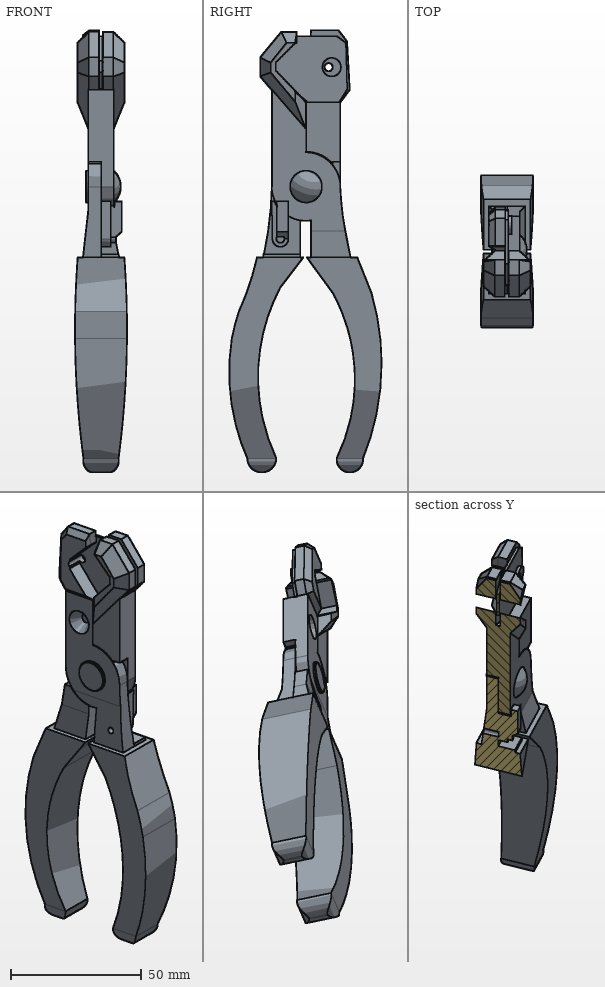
import cadquery as cq
import math


PLATE_X = 5.0
NECK_WIDTH = 26.3
PIVOT_R = NECK_WIDTH / 2
CLEARANCE = 0.25
CLEAR_R = PIVOT_R + CLEARANCE
RELIEF_Y = 10.2
RELIEF_TOP = 9.9
NECK_TOP = 32.5
HANDLE_TOP = -27.2
HANDLE_BOTTOM = -109.8
HANDLE_END = -104.4
ARM_X = 7.0
WIDE = 68.0

SHANK_R = 8.0 / 2
RIVET_HEAD_R = 6.1
RIVET_HEAD_H = 1.0
RIVET_HEAD_CHAMFER = 0.3
RIVET_DOME_H = 2.7

JAW_FACE_X = -7.0
JAW_RIM_X = -4.5
BLADE_X = (-0.7, 0.5)
SLOT_X = (-0.8, 0.7)
WIRE_HOLE = (8.7, 45.9)
WIRE_HOLE_D = 3.0
BOSS_Y = 9.9
BOSS_D = 7.1
BOSS_END_X = 1.9

CONE = (6.6, 20.9)
CONE_D = 9.5
CONE_FLOOR_D = 3.5
CONE_DEPTH = 4.2

CLAW_RIM_X = 4.8
CLAW_WIDTH = 18.2
CLAW_X = CLAW_WIDTH / 2
CLAW_ROOT = 22.0
CLAW_FLANK = 37.4

HANDLE_TOP_X = 9.0
HANDLE_MID = (10.0, -52.7)
HANDLE_END_X = 6.8
HANDLE_TIP_X = 3.7
HANDLE_CORNER = (6.0, -108.1)

FRONT_FLARE = -9.0
REAR_FLARE = -17.0
REAR_ARM_TOP = -8.0
REAR_SHOULDER_Y = 13.6
REAR_FLARE_Y = 15.1
FRONT_SLOT_Y = 2.2
REAR_SLOT_Y = 1.9
FRONT_FOOT_Y = 16.5
REAR_FOOT_Y = 17.2
FLANK_BOW = 0.7
FRONT_BASE_TOP = -26.0
PIN = (-9.9, -20.0)
PIN_D = 3.0
PIN_END_X = 5.8
PIN_HOLE_D = 2.4
CATCH_X = 8.0
CATCH_Y = -11.2
CATCH_STEP_X = 3.7
CATCH_TOP = -5.6
CATCH_BEVEL_TOP = -17.3
CATCH_FOOT_R = 3.0


def plane_at(x):
    """Work plane normal to X, whose local axes are Y and Z."""
    return cq.Workplane("YZ").workplane(offset=x)


def slab(points, x_start, x_end):
    """Polygon in Y and Z, extruded between two X positions."""
    return plane_at(x_start).polyline(points).close().extrude(x_end - x_start)


def rod(center, diameter, x_start, x_end):
    """Cylinder along X."""
    return plane_at(x_start).center(*center).circle(diameter / 2).extrude(x_end - x_start)


def bevel(points_start, x_start, points_end, x_end):
    """Straight-sided transition between two polygons with the same number of corners."""
    lower = plane_at(x_start).polyline(points_start).close()
    return lower.workplane(offset=x_end - x_start).polyline(points_end).close().loft(ruled=True)


def trimmed(body, profile):
    """Keep the part of a body inside a symmetric X-Z profile given by its +X corners."""
    mirrored = [(-x, z) for x, z in reversed(profile)]
    return body.intersect(
        cq.Workplane("XZ").polyline(profile + mirrored).close().extrude(WIDE, both=True)
    )


def lap_plate(side, slot_y, foot_y):
    """Half-thickness outline with the neck half at side * Y, the pivot disc and the opposite arm."""
    arc = PIVOT_R * math.sqrt(0.5)
    flank_y = (PIVOT_R + foot_y) / 2 - FLANK_BOW
    return (
        plane_at(0)
        .moveTo(side * PIVOT_R, NECK_TOP)
        .lineTo(0, NECK_TOP)
        .lineTo(0, PIVOT_R)
        .threePointArc((-side * arc, arc), (-side * PIVOT_R, 0))
        .threePointArc((-side * flank_y, HANDLE_TOP / 2), (-side * foot_y, HANDLE_TOP))
        .lineTo(-side * slot_y, HANDLE_TOP)
        .lineTo(-side * slot_y, -math.sqrt(PIVOT_R**2 - slot_y**2))
        .threePointArc((side * arc, -arc), (side * PIVOT_R, 0))
        .close()
    )


def lap_clearance(side, x_start, x_end):
    """Space that the other lever's disc needs, with a relief at side * Y."""
    relief = [
        (side * RELIEF_Y, 0),
        (side * RELIEF_Y, RELIEF_TOP - CLEARANCE),
        (side * CLEAR_R, RELIEF_TOP - CLEARANCE),
        (side * CLEAR_R, 0),
    ]
    return rod((0, 0), 2 * CLEAR_R, x_start, x_end).union(slab(relief, x_start, x_end))


def arm_profile(flare_z):
    """X-Z profile that widens from the plate to the handle."""
    return [(PLATE_X, NECK_TOP), (PLATE_X, flare_z), (ARM_X, HANDLE_TOP)]


def handle(outline):
    """Curved grip: a Y-Z outline trimmed to the barrel shape seen along Y."""
    grip = outline.close().extrude(WIDE, both=True)
    mid_x, mid_z = HANDLE_MID
    corner_x, corner_z = HANDLE_CORNER
    profile = (
        cq.Workplane("XZ")
        .moveTo(HANDLE_TOP_X, HANDLE_TOP)
        .threePointArc((mid_x, mid_z), (HANDLE_END_X, HANDLE_END))
        .threePointArc((corner_x, corner_z), (HANDLE_TIP_X, HANDLE_BOTTOM))
        .lineTo(-HANDLE_TIP_X, HANDLE_BOTTOM)
        .threePointArc((-corner_x, corner_z), (-HANDLE_END_X, HANDLE_END))
        .threePointArc((-mid_x, mid_z), (-HANDLE_TOP_X, HANDLE_TOP))
        .close()
        .extrude(WIDE, both=True)
    )
    return grip.intersect(profile)


def front_handle():
    outline = (
        plane_at(0)
        .moveTo(-1.0, HANDLE_TOP)
        .lineTo(-18.9, HANDLE_TOP)
        .threePointArc((-21.8, -37.5), (-25.8, -48.0))
        .threePointArc((-27.4, -53.0), (-28.5, -58.3))
        .threePointArc((-28.9, -82.0), (-22.6, HANDLE_END))
        .threePointArc((-17.2, HANDLE_BOTTOM), (-11.4, HANDLE_END))
        .threePointArc((-18.4, -71.4), (-9.9, -38.8))
    )
    return handle(outline)


def rear_handle():
    outline = (
        plane_at(0)
        .moveTo(0.3, HANDLE_TOP)
        .lineTo(19.7, HANDLE_TOP)
        .lineTo(25.2, -40.8)
        .threePointArc((29.0, -69.7), (22.0, HANDLE_END))
        .threePointArc((16.5, HANDLE_BOTTOM), (11.7, HANDLE_END))
        .threePointArc((18.7, -72.4), (10.2, -40.8))
        .lineTo(2.4, -30.1)
    )
    return handle(outline)


def front_jaw():
    """Bevelled jaw with a V-shaped mouth, backed by a thin blade that fills the mouth."""
    rim = [(1.9, 60.2), (12.4, 60.2), (15.8, 55.8), (16.8, 37.2), (13.3, NECK_TOP), (0, NECK_TOP)]
    face = [(1.9, 58.1), (11.2, 58.1), (13.8, 55.0), (14.1, 37.4), (11.9, 34.5), (0, 34.5)]
    mouth = [(0, NECK_TOP), (9.7, 43.9), (9.7, 47.8), (1.9, 55.2), (0, 55.2)]
    blade = [
        (0.5, NECK_TOP), (-13.3, 44.0), (-13.3, 48.5), (-5.1, 57.8),
        (11.9, 57.8), (15.3, 55.2), (15.8, 37.4), (12.7, NECK_TOP),
    ]
    jaw = slab(rim, JAW_RIM_X, BLADE_X[0]).union(bevel(rim, JAW_RIM_X, face, JAW_FACE_X))
    jaw = jaw.cut(slab(mouth, JAW_FACE_X, BLADE_X[0]))
    jaw = jaw.union(slab(blade, *BLADE_X))
    jaw = jaw.union(rod((BOSS_Y, WIRE_HOLE[1]), BOSS_D, BLADE_X[1], BOSS_END_X))
    return jaw.cut(rod(WIRE_HOLE, WIRE_HOLE_D, JAW_FACE_X, BOSS_END_X))


def rear_jaw():
    """Claw around a diamond-shaped mouth, bevelled on both sides and slotted for the blade."""
    rim = [(0, CLAW_ROOT), (-17.7, 42.3), (-17.7, 49.6), (-9.5, 59.5), (-3.5, 59.5), (-0.2, 55.2)]
    face = [(-4.0, NECK_TOP), (-13.6, 43.9), (-13.6, 47.6), (-7.5, 55.2), (-4.2, 55.2), (-4.0, 54.9)]
    mouth = [
        (0, NECK_TOP), (-11.5, 44.5), (-11.5, 47.8), (-4.5, 54.9), (-3.5, 55.2), (-3.5, 61.2), (1.7, 61.2),
    ]
    slot = [(1.7, 31.6), (0, 32.1), (-18.7, 39.6), (-18.7, 61.2), (1.7, 61.2)]
    jaw = slab(rim, -CLAW_RIM_X, CLAW_RIM_X)
    for side in (-1, 1):
        jaw = jaw.union(bevel(rim, side * CLAW_RIM_X, face, side * CLAW_X))
    neck = [(0, CLAW_ROOT), (-PIVOT_R, CLAW_ROOT), (-PIVOT_R, CLAW_FLANK), (0, NECK_TOP)]
    jaw = jaw.union(slab(neck, -PLATE_X, PLATE_X))
    return jaw.cut(slab(mouth, -CLAW_X, CLAW_X)).cut(slab(slot, *SLOT_X))


def conical_recess():
    """Cone that narrows from the -X face of the neck to a flat floor."""
    return (
        plane_at(-PLATE_X)
        .center(*CONE)
        .circle(CONE_D / 2)
        .workplane(offset=CONE_DEPTH)
        .circle(CONE_FLOOR_D / 2)
        .loft()
    )


def catch():
    """Stepped block with a rounded foot around its pin, hollowed around the pivot disc."""
    pin_y, pin_z = PIN
    inner_y = pin_y + CATCH_FOOT_R
    inner = slab(
        [(-PIVOT_R, CATCH_TOP), (pin_y - CATCH_FOOT_R, pin_z), (inner_y, pin_z), (inner_y, CATCH_TOP)],
        0, CATCH_STEP_X,
    )
    outer = slab(
        [(CATCH_Y, CATCH_TOP), (CATCH_Y, pin_z), (inner_y, pin_z), (inner_y, CATCH_TOP)],
        CATCH_STEP_X, CATCH_X,
    )
    wedge = (
        cq.Workplane("XZ")
        .polyline([(CATCH_X, CATCH_BEVEL_TOP), (CATCH_X, pin_z), (PLATE_X, pin_z)])
        .close()
        .extrude(WIDE, both=True)
    )
    block = inner.union(outer.cut(wedge)).cut(rod((0, 0), 2 * CLEAR_R, 0, PLATE_X + CLEARANCE))
    foot = rod(PIN, 2 * CATCH_FOOT_R, 0, CATCH_STEP_X)
    return block.union(foot).union(rod(PIN, PIN_D, 0, PIN_END_X))


def front_plate():
    """Lap plate on the -X half, with a full-thickness base on the handle."""
    plate = lap_plate(1, FRONT_SLOT_Y, FRONT_FOOT_Y).extrude(-ARM_X)
    base = slab(
        [
            (-FRONT_FOOT_Y, FRONT_BASE_TOP), (-FRONT_FOOT_Y, HANDLE_TOP),
            (-FRONT_SLOT_Y, HANDLE_TOP), (-FRONT_SLOT_Y, FRONT_BASE_TOP),
        ],
        0, ARM_X,
    )
    plate = trimmed(plate.union(base), arm_profile(FRONT_FLARE))
    return plate.cut(rod(PIN, PIN_HOLE_D, -ARM_X, 0))


def rear_plate():
    """Lap plate on the +X half, with a full-thickness arm below the joint."""
    plate = lap_plate(-1, REAR_SLOT_Y, REAR_FOOT_Y).extrude(ARM_X)
    arm = slab(
        [
            (REAR_SHOULDER_Y, REAR_ARM_TOP), (REAR_FLARE_Y, REAR_FLARE), (REAR_FOOT_Y, HANDLE_TOP),
            (REAR_SLOT_Y, HANDLE_TOP), (REAR_SLOT_Y, REAR_ARM_TOP),
        ],
        -ARM_X, 0,
    )
    return trimmed(plate.union(arm.cut(lap_clearance(-1, -ARM_X, 0))), arm_profile(REAR_FLARE))


def pivot_hole():
    return rod((0, 0), 2 * SHANK_R, -PLATE_X, PLATE_X)


def front_lever():
    upper = slab([(0, 0), (PIVOT_R, 0), (PIVOT_R, NECK_TOP), (0, NECK_TOP)], 0, PLATE_X)
    lever = front_plate().union(upper.cut(lap_clearance(1, 0, PLATE_X)))
    lever = lever.union(front_jaw()).cut(conical_recess())
    lever = lever.union(catch()).union(front_handle())
    return lever.cut(pivot_hole())


def rear_lever():
    upper = slab([(0, 0), (-PIVOT_R, 0), (-PIVOT_R, NECK_TOP), (0, NECK_TOP)], -PLATE_X, 0)
    lever = rear_plate().union(upper.cut(lap_clearance(-1, -PLATE_X, 0)))
    lever = lever.union(rear_jaw()).union(rear_handle())
    return lever.cut(pivot_hole())


def rivet_body():
    """Shank with a flat head at -X and a domed head at +X."""
    head_x = -PLATE_X - RIVET_HEAD_H
    dome_x = PLATE_X + RIVET_DOME_H
    sphere_r = (RIVET_HEAD_R**2 + RIVET_DOME_H**2) / (2 * RIVET_DOME_H)
    half_angle = math.asin(RIVET_HEAD_R / sphere_r) / 2
    dome_middle = (dome_x - sphere_r * (1 - math.cos(half_angle)), sphere_r * math.sin(half_angle))
    return (
        cq.Workplane("XY")
        .moveTo(head_x, 0)
        .lineTo(head_x, RIVET_HEAD_R - RIVET_HEAD_CHAMFER)
        .lineTo(head_x + RIVET_HEAD_CHAMFER, RIVET_HEAD_R)
        .lineTo(-PLATE_X, RIVET_HEAD_R)
        .lineTo(-PLATE_X, SHANK_R)
        .lineTo(PLATE_X, SHANK_R)
        .lineTo(PLATE_X, RIVET_HEAD_R)
        .threePointArc(dome_middle, (dome_x, 0))
        .close()
        .revolve(360, (0, 0, 0), (1, 0, 0))
    )


front = front_lever()
rear = rear_lever()
rivet = rivet_body()
result = cq.Compound.makeCompound([front.val(), rear.val(), rivet.val()])